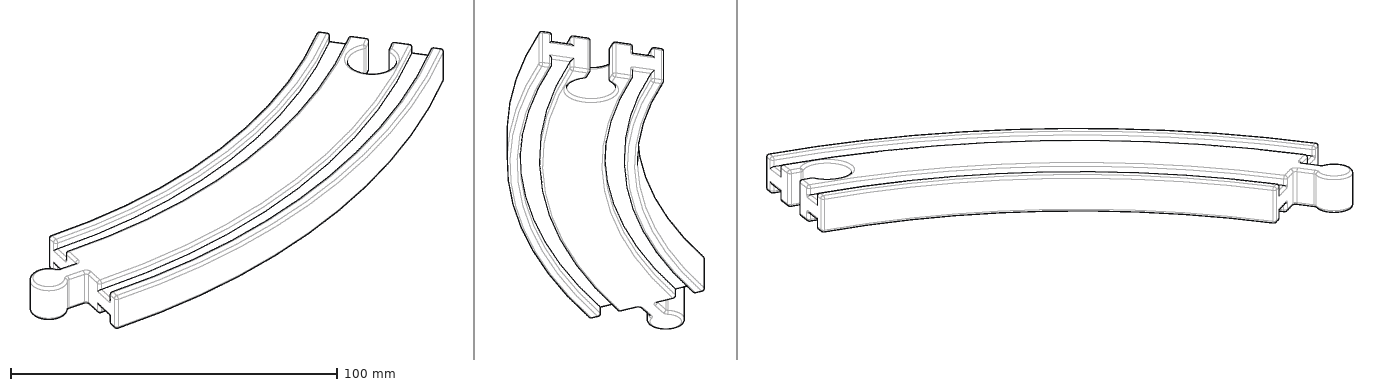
import cadquery as cq
import math

inner_radius = 182.0
track_width = 40.0
track_height = 12.0
bend_angle = 45.0
edge_radius = 0.9

groove_width = 6.0
groove_depth = 3.0
gap_between_grooves = 20.0

plug_reach = 17.7
plug_radius = 5.75
neck_width = 5.8

socket_radius = 7.5
socket_centre_depth = 11.3
socket_mouth_width = 7.2

outer_radius = inner_radius + track_width
mid_radius = inner_radius + track_width / 2
plug_centre_distance = plug_reach - plug_radius
groove_offset = (gap_between_grooves + groove_width) / 2
upper_floor = track_height - groove_depth
tolerance = 1e-4


def arc_point(radius, angle):
    """Point at an angle in degrees around the bend centre."""
    turn = math.radians(angle)
    return (radius * math.cos(turn), radius * math.sin(turn))


def ring_sector():
    outer_middle = arc_point(outer_radius, bend_angle / 2)
    outer_end = arc_point(outer_radius, bend_angle)
    inner_end = arc_point(inner_radius, bend_angle)
    inner_middle = arc_point(inner_radius, bend_angle / 2)
    return (
        cq.Workplane("XY")
        .moveTo(inner_radius, 0)
        .lineTo(outer_radius, 0)
        .threePointArc(outer_middle, outer_end)
        .lineTo(*inner_end)
        .threePointArc(inner_middle, (inner_radius, 0))
        .close()
        .extrude(track_height)
    )


def keyhole(radius, centre_distance, stem_width):
    """Full-height disc on the -Y side of the X axis, with a stem from the axis to its centre."""
    disc = (
        cq.Workplane("XY")
        .center(mid_radius, -centre_distance)
        .circle(radius)
        .extrude(track_height)
    )
    stem = (
        cq.Workplane("XY")
        .center(mid_radius, -centre_distance / 2)
        .rect(stem_width, centre_distance)
        .extrude(track_height)
    )
    return disc.union(stem)


def socket_cutter():
    """Keyhole turned about the bend centre so that it opens at the turned end."""
    cutter = keyhole(socket_radius, socket_centre_depth, socket_mouth_width)
    return cutter.rotate((0, 0, 0), (0, 0, 1), bend_angle)


def groove_ring(radius, base_height):
    return (
        cq.Workplane("XY")
        .workplane(offset=base_height)
        .circle(radius + groove_width / 2)
        .circle(radius - groove_width / 2)
        .extrude(groove_depth)
    )


def cut_grooves(body):
    for groove_radius in (mid_radius - groove_offset, mid_radius + groove_offset):
        for base_height in (0, upper_floor):
            body = body.cut(groove_ring(groove_radius, base_height))
    return body


def is_groove_floor_corner(edge):
    """True for the curved edges where a groove floor meets a groove wall."""
    box = edge.BoundingBox()
    is_level = box.zlen < tolerance
    is_below_surface = tolerance < box.zmin < track_height - tolerance
    return is_level and is_below_surface and edge.geomType() == "CIRCLE"


def round_edges(body):
    """Round every edge except the groove floor corners, which stay sharp."""
    edges = [edge for edge in body.edges().vals() if not is_groove_floor_corner(edge)]
    return body.newObject(edges).fillet(edge_radius)


plug = keyhole(plug_radius, plug_centre_distance, neck_width)
track = ring_sector().union(plug).cut(socket_cutter())
track = cut_grooves(track)
result = round_edges(track)